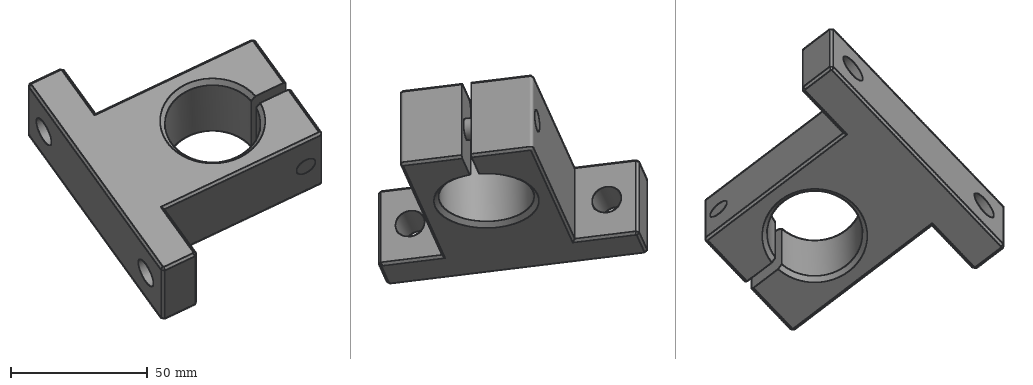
import cadquery as cq

base_width = 98.0
total_depth = 82.0
height = 32.0
base_depth = 14.9
clamp_width = 50.0
edge_chamfer = 1.0
clamp_corner_radius = 1.3

bore_diameter = 35.0
bore_y = 50.0
bore_chamfer = 1.8
slit_width = 3.5

mount_diameter = 11.0
mount_spacing = 74.0

pin_diameter = 8.0
pin_back_distance = 7.1
pin_y = total_depth - pin_back_distance
mid_height = height / 2


def make_block():
    """T-shaped block with chamfered outer edges and rounded back corners."""
    base = cq.Workplane("XY").box(base_width, base_depth, height, centered=(True, False, False))
    clamp = cq.Workplane("XY").box(clamp_width, total_depth, height, centered=(True, False, False))
    base = base.edges("|Z").chamfer(edge_chamfer)
    clamp = clamp.edges("|Z and >Y").fillet(clamp_corner_radius)
    return base.union(clamp).faces("<Z or >Z").chamfer(edge_chamfer)


def make_bore():
    """Through bore with a countersink at both ends."""
    bore_radius = bore_diameter / 2
    mouth_radius = bore_radius + bore_chamfer
    return (
        cq.Workplane("XZ")
        .moveTo(0, 0)
        .lineTo(mouth_radius, 0)
        .lineTo(bore_radius, bore_chamfer)
        .lineTo(bore_radius, height - bore_chamfer)
        .lineTo(mouth_radius, height)
        .lineTo(0, height)
        .close()
        .revolve(360, (0, 0), (0, 1))
        .translate((0, bore_y, 0))
    )


def make_slit():
    """Gap from the bore centre to the back face, over the full height."""
    return (
        cq.Workplane("XY")
        .box(slit_width, total_depth - bore_y, height, centered=(True, False, False))
        .translate((0, bore_y, 0))
    )


def make_mount_holes():
    """Two holes through the base along Y."""
    return (
        cq.Workplane("XZ")
        .pushPoints([(side * mount_spacing / 2, mid_height) for side in (-1, 1)])
        .circle(mount_diameter / 2)
        .extrude(-base_depth)
    )


def make_pin():
    """Plain pin along X, flush with both sides of the clamp."""
    return (
        cq.Workplane("YZ", origin=(-clamp_width / 2, 0, 0))
        .center(pin_y, mid_height)
        .circle(pin_diameter / 2)
        .extrude(clamp_width)
    )


pin = make_pin()
housing = make_block().cut(make_bore()).cut(make_slit()).cut(make_mount_holes()).cut(pin)

result = cq.Compound.makeCompound([housing.val(), pin.val()])